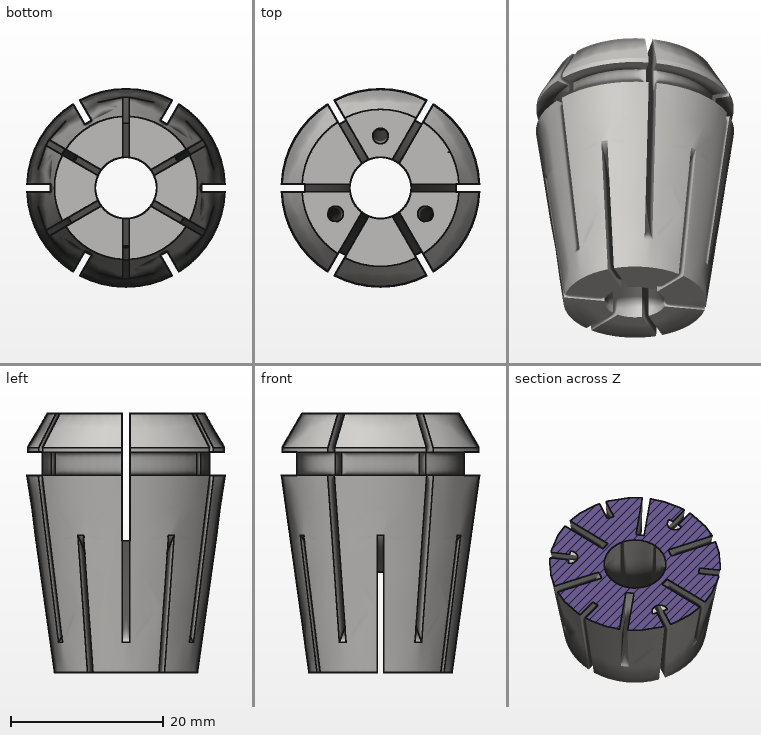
import cadquery as cq
import math

LENGTH = 34.0
BORE_RADIUS = 4.0
BASE_RADIUS = 9.4
BODY_TOP_RADIUS = 26.0 / 2
BODY_TOP_Z = 25.87
NECK_RADIUS = 11.0
HEAD_Z = 28.9
RIM_HEIGHT = 0.6
RIM_RADIUS = 12.92
TOP_RADIUS = 10.3

SLOT_COUNT = 6
SLOT_PITCH = 360 / SLOT_COUNT
UPPER_SLOT_WIDTH = 1.02
UPPER_OUTER_Z = 3.98
UPPER_INNER_Z = 17.3
UPPER_SAW_RADIUS = 26.52
LOWER_SLOT_WIDTH = 0.85
LOWER_OUTER_Z = 18.0
LOWER_INNER_Z = 13.15
LOWER_ARC_INNER_RADIUS = 8.5
LOWER_SAW_RADIUS = 19.72

HOLE_COUNT = 3
HOLE_DIAMETER = 2.0
HOLE_CIRCLE_RADIUS = 6.8
HOLE_TILT = 5.0
FIRST_HOLE_ANGLE = 1.5 * SLOT_PITCH

CLEARANCE = 0.68


def body_radius(z):
    """Outer radius of the tapered body at height z."""
    return BASE_RADIUS + (BODY_TOP_RADIUS - BASE_RADIUS) * z / BODY_TOP_Z


def repeat_around(solid, count, first_angle):
    """The solid, built on the +X side, copied evenly around the Z axis."""
    pattern = cq.Workplane()
    for i in range(count):
        angle = first_angle + i * 360 / count
        pattern = pattern.add(solid.rotate((0, 0, 0), (0, 0, 1), angle))
    return pattern.combine()


def turned_body():
    outline = [
        (BORE_RADIUS, 0),
        (BASE_RADIUS, 0),
        (BODY_TOP_RADIUS, BODY_TOP_Z),
        (NECK_RADIUS, BODY_TOP_Z),
        (NECK_RADIUS, HEAD_Z),
        (RIM_RADIUS, HEAD_Z),
        (RIM_RADIUS, HEAD_Z + RIM_HEIGHT),
        (TOP_RADIUS, LENGTH),
        (BORE_RADIUS, LENGTH),
    ]
    return cq.Workplane("XZ").polyline(outline).close().revolve(360, (0, 0), (0, 1))


def saw_slot(width, saw_radius, inner_radius, inner_z, outer_z, open_z):
    """One radial slot from the end at open_z to a floor that follows the saw's round edge.

    The arc runs from inner_radius to the body surface; closer to the axis the floor is flat.
    """
    outer_radius = body_radius(outer_z)
    chord = math.hypot(outer_radius - inner_radius, outer_z - inner_z)
    sag = saw_radius - math.sqrt(saw_radius**2 - (chord / 2) ** 2)
    bulge = -sag if open_z > inner_z else sag
    clear_radius = BODY_TOP_RADIUS + CLEARANCE
    return (
        cq.Workplane("XZ")
        .moveTo(0, open_z)
        .lineTo(0, inner_z)
        .lineTo(inner_radius, inner_z)
        .sagittaArc((outer_radius, outer_z), bulge)
        .lineTo(clear_radius, outer_z)
        .lineTo(clear_radius, open_z)
        .close()
        .extrude(width / 2, both=True)
    )


def leaning_hole():
    """One hole that drifts outward as it goes down and breaks into the lower slot below it."""
    depth = (LENGTH - LOWER_INNER_Z) / math.cos(math.radians(HOLE_TILT))
    return (
        cq.Workplane("XY")
        .workplane(offset=-depth)
        .circle(HOLE_DIAMETER / 2)
        .extrude(depth + CLEARANCE)
        .rotate((0, 0, 0), (0, 1, 0), -HOLE_TILT)
        .translate((HOLE_CIRCLE_RADIUS, 0, LENGTH))
    )


upper_slot = saw_slot(
    UPPER_SLOT_WIDTH, UPPER_SAW_RADIUS, BORE_RADIUS, UPPER_INNER_Z, UPPER_OUTER_Z, open_z=LENGTH
)
lower_slot = saw_slot(
    LOWER_SLOT_WIDTH, LOWER_SAW_RADIUS, LOWER_ARC_INNER_RADIUS, LOWER_INNER_Z, LOWER_OUTER_Z, open_z=0
)

result = (
    turned_body()
    .cut(repeat_around(upper_slot, SLOT_COUNT, 0))
    .cut(repeat_around(lower_slot, SLOT_COUNT, SLOT_PITCH / 2))
    .cut(repeat_around(leaning_hole(), HOLE_COUNT, FIRST_HOLE_ANGLE))
)